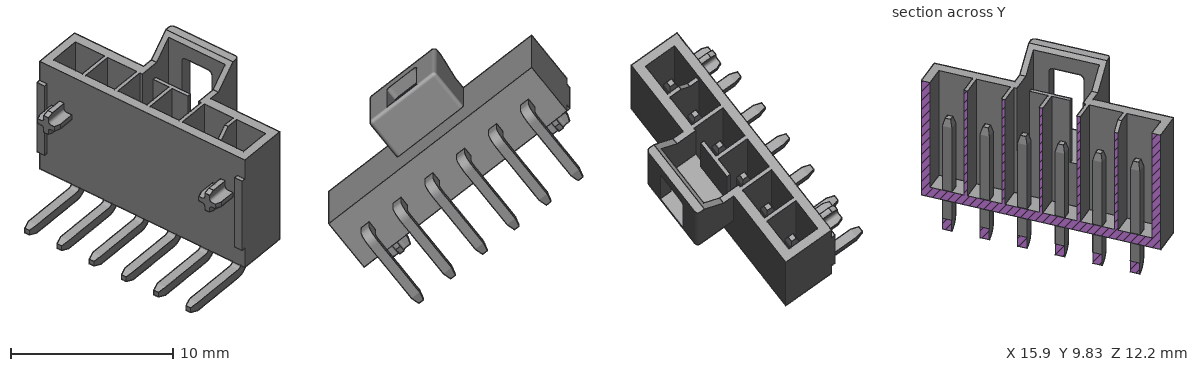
import cadquery as cq


length = 15.94
depth = 3.52
height = 8.48
positions = 6
pitch = 2.5
cell_width = 2.25
cell_length = 2.22
cell_front = 0.64
cell_floor = 0.75
cell_rear = cell_front + cell_length
column_xs = [(i - (positions - 1) / 2) * pitch for i in range(positions)]

notch_high_y = 2.0
notch_drop = 0.67

hood_width = 5.21
hood_depth = 2.82
hood_bottom = 3.49
hood_top = height + 1.47
hood_crest = 0.57
hood_side_wall = 0.41
hood_rear_wall = 0.83
hood_fillet = 0.25
hood_rear = depth + hood_depth
channel_width = hood_width - 2 * hood_side_wall
channel_rear = hood_rear - hood_rear_wall
channel_floor = hood_bottom + hood_side_wall
window_width = 2.33
window_top = height + 0.15
window_fillet = 0.3

cross_wall_width = 2.71
cross_wall_thickness = 0.25

pad_width = 0.59
pad_thickness = 0.27
pad_bottom = 1.51
pad_height = 5.47

peg_z = 5.3
peg_diameter = 1.63
peg_tip_diameter = 1.34
peg_length = 1.58
peg_taper = 0.4
peg_rib = 0.37
peg_fillet = 0.2

pin_size = 0.64
pin_y = 1.75
pin_top = 6.0
pin_drop = 2.22
pin_reach = 3.49
pin_inner_radius = 0.32
pin_tip_size = 0.37
pin_tip_length = 0.54


def block(x_size, y_start, y_end, z_start, z_end, x_center=0.0):
    """Box centred on x_center and spanning the given Y and Z ranges."""
    return (
        cq.Workplane("XY")
        .box(x_size, y_end - y_start, z_end - z_start, centered=(True, False, False))
        .translate((x_center, y_start, z_start))
    )


def make_hood():
    """Latch hood: a rounded block whose top slopes down to the housing."""
    hood = block(hood_width, depth, hood_rear, hood_bottom, hood_top)
    hood = hood.edges("(|Z and >Y) or (<Z and (not <Y))").fillet(hood_fillet)
    crest_front = hood_rear - hood_crest
    slope_run = hood_top - height
    above_slope = (
        cq.Workplane("YZ")
        .moveTo(crest_front, hood_top)
        .lineTo(crest_front - slope_run, height)
        .lineTo(depth, height)
        .lineTo(depth, hood_top)
        .close()
        .extrude(hood_width / 2, both=True)
    )
    return hood.cut(above_slope)


def make_latch_opening():
    """Channel behind the middle cells and the window through the hood's rear wall."""
    channel = block(channel_width, cell_rear, channel_rear, channel_floor, hood_top)
    window = block(window_width, channel_rear, hood_rear, channel_floor, window_top)
    window = window.edges("|Y and >Z").fillet(window_fillet)
    return channel.union(window)


def make_divider_notch():
    """Cut that steps the last divider down, through a 45 degree slope, toward the front."""
    divider_x = (column_xs[-2] + column_xs[-1]) / 2
    low_z = height - notch_drop
    return (
        cq.Workplane("YZ", origin=(divider_x, 0, 0))
        .moveTo(notch_high_y, height)
        .lineTo(notch_high_y - notch_drop, low_z)
        .lineTo(cell_front, low_z)
        .lineTo(cell_front, height)
        .close()
        .extrude(pitch / 4, both=True)
    )


def make_peg(x):
    """Cross-ribbed peg: two crossed ribs trimmed to a round post with a tapered tip."""
    post = (
        cq.Workplane("XY")
        .lineTo(peg_diameter / 2, 0)
        .lineTo(peg_diameter / 2, peg_length - peg_taper)
        .lineTo(peg_tip_diameter / 2, peg_length)
        .lineTo(0, peg_length)
        .close()
        .revolve(360, (0, 0), (0, 1))
    )
    flat_rib = block(peg_diameter, 0, peg_length, -peg_rib / 2, peg_rib / 2)
    upright_rib = flat_rib.rotate((0, 0, 0), (0, 1, 0), 90)
    inner_corners = cq.selectors.BoxSelector(
        (-peg_rib, 0, -peg_rib), (peg_rib, peg_length, peg_rib)
    )
    cross = flat_rib.union(upright_rib)
    ribs = cross.edges("|Y").edges(inner_corners).fillet(peg_fillet)
    return ribs.intersect(post).rotate((0, 0, 0), (0, 0, 1), 180).translate((x, 0, peg_z))


def pin_tip(plane):
    """Square tip tapering along the normal of the given plane."""
    return (
        cq.Workplane(plane)
        .rect(pin_size, pin_size)
        .workplane(offset=pin_tip_length)
        .rect(pin_tip_size, pin_tip_size)
        .loft(ruled=True)
    )


def make_pin(x):
    """L-shaped pin: up into the cell, down below the housing, then forward to the tail."""
    rear_y = pin_y + pin_size / 2
    front_y = pin_y - pin_size / 2
    top_shoulder = pin_top - pin_tip_length
    tail_shoulder = -pin_reach + pin_tip_length
    tail_top = -pin_drop + pin_size
    pin = (
        cq.Workplane("YZ", origin=(x, 0, 0))
        .moveTo(rear_y, top_shoulder)
        .lineTo(rear_y, -pin_drop)
        .lineTo(tail_shoulder, -pin_drop)
        .lineTo(tail_shoulder, tail_top)
        .lineTo(front_y, tail_top)
        .lineTo(front_y, top_shoulder)
        .close()
        .extrude(pin_size / 2, both=True)
    )
    outer_bend = cq.NearestToPointSelector((x, rear_y, -pin_drop))
    inner_bend = cq.NearestToPointSelector((x, front_y, tail_top))
    pin = pin.edges("|X").edges(outer_bend).fillet(pin_inner_radius + pin_size)
    pin = pin.edges("|X").edges(inner_bend).fillet(pin_inner_radius)
    upper_tip = pin_tip(cq.Plane((x, pin_y, top_shoulder)))
    tail_tip = pin_tip(
        cq.Plane((x, tail_shoulder, tail_top - pin_size / 2), xDir=(1, 0, 0), normal=(0, -1, 0))
    )
    return pin.union(upper_tip).union(tail_tip)


result = block(length, 0, depth, 0, height).union(make_hood())
for column_x in column_xs:
    result = result.cut(block(cell_width, cell_front, cell_rear, cell_floor, height, column_x))
result = result.cut(make_latch_opening()).cut(make_divider_notch())
cross_wall_rear = cell_rear + cross_wall_thickness
result = result.union(block(cross_wall_width, cell_rear, cross_wall_rear, channel_floor, height))

for side in (-1, 1):
    pad_x = side * (length - pad_width) / 2
    result = result.union(block(pad_width, -pad_thickness, 0, pad_bottom, pad_bottom + pad_height, pad_x))
for peg_x in (column_xs[0], column_xs[-1]):
    result = result.union(make_peg(peg_x))

for column_x in column_xs:
    result = result.union(make_pin(column_x))